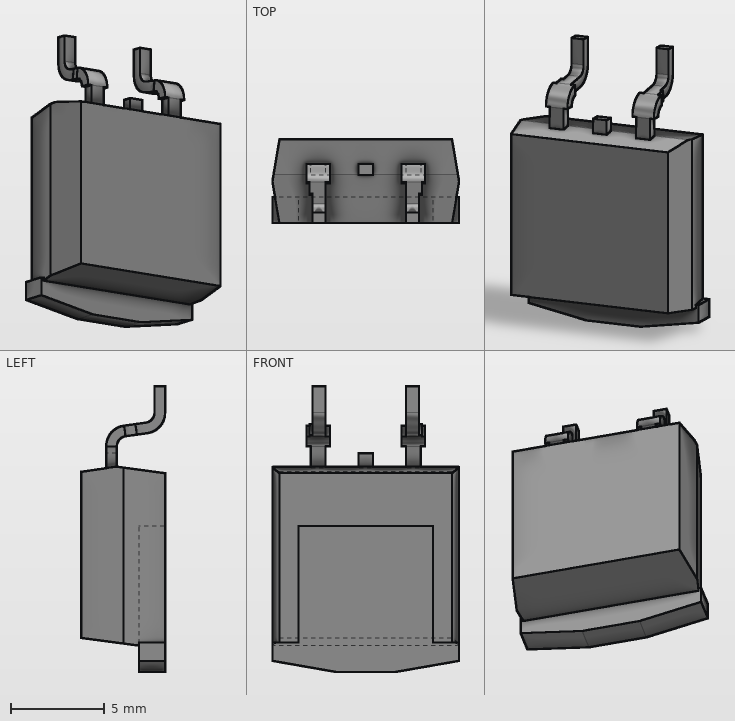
import cadquery as cq
import math

total_height = 15.3

depth = 4.5
half_width = 5.0
face_half_width = 4.62
widest_y = 2.23
ridge_y = 2.6
ridge_z = 11.0
face_top_z = 10.65
back_top_z = 10.73
face_bottom_z = 1.22
back_bottom_z = 1.82

tab_thickness = 1.4
tab_top_z = 7.82
tab_neck_half_width = 3.6
tab_shoulder_z = 1.58
tab_corner_z = 0.6
tab_edge_half_width = 1.59

lead_thickness = 0.58
lead_back_y = 3.17
lead_front_y = lead_back_y - lead_thickness
lead_inner_x = 2.14
stem_outer_x = 2.95
lower_bend_inner_x = 1.91
lower_bend_outer_x = 3.18
strip_outer_x = 3.0
foot_outer_x = 2.86
lower_bend_z = 12.09
inner_radius = 0.54
outer_radius = inner_radius + lead_thickness
strip_tilt = math.radians(8)
wide_strip_length = 0.61
centre_lead_half_width = 0.4
centre_lead_top_z = 11.72

lower_centre = (lead_front_y - inner_radius, lower_bend_z)
upper_centre_y = lead_thickness + inner_radius
upper_bend_z = (
    lower_bend_z
    + (inner_radius + outer_radius) / math.cos(strip_tilt)
    + (lower_centre[0] - upper_centre_y) * math.tan(strip_tilt)
)
upper_centre = (upper_centre_y, upper_bend_z)


def extrude_x(profile, x_start, x_end):
    """Extrude a closed (Y, Z) profile between two X positions."""
    return profile.extrude(x_end - x_start).translate((x_start, 0, 0))


def polar(centre, radius, angle):
    """Point on a circle in the (Y, Z) plane."""
    return (centre[0] + radius * math.cos(angle), centre[1] + radius * math.sin(angle))


def along_strip(point, distance):
    """Move a (Y, Z) point up the sloping strip, towards the foot."""
    return (point[0] - distance * math.cos(strip_tilt), point[1] + distance * math.sin(strip_tilt))


lower_end_angle = math.pi / 2 - strip_tilt
upper_end_angle = lower_end_angle + math.pi
strip_start_top = polar(lower_centre, outer_radius, lower_end_angle)
strip_start_bottom = polar(lower_centre, inner_radius, lower_end_angle)
foot_start_top = along_strip(strip_start_top, wide_strip_length)
foot_start_bottom = along_strip(strip_start_bottom, wide_strip_length)


def make_tab():
    outline = [
        (-tab_neck_half_width, tab_top_z),
        (-tab_neck_half_width, tab_shoulder_z),
        (-half_width, tab_shoulder_z),
        (-half_width, tab_corner_z),
        (-tab_edge_half_width, 0),
        (tab_edge_half_width, 0),
        (half_width, tab_corner_z),
        (half_width, tab_shoulder_z),
        (tab_neck_half_width, tab_shoulder_z),
        (tab_neck_half_width, tab_top_z),
    ]
    return cq.Workplane("XZ").polyline(outline).close().extrude(-tab_thickness)


def make_housing(tab):
    side_profile = cq.Workplane("YZ").polyline([
        (0, face_bottom_z),
        (0, face_top_z),
        (ridge_y, ridge_z),
        (depth, back_top_z),
        (depth, back_bottom_z),
    ]).close()
    plan = cq.Workplane("XY").polyline([
        (-face_half_width, 0),
        (face_half_width, 0),
        (half_width, widest_y),
        (face_half_width, depth),
        (-face_half_width, depth),
        (-half_width, widest_y),
    ]).close().extrude(total_height)
    return extrude_x(side_profile, -half_width, half_width).intersect(plan).cut(tab)


def make_stem(x_start, x_end, top_z, housing):
    """Straight lead stem whose lower end follows the sloping top of the housing."""
    profile = cq.Workplane("YZ").polyline([
        (lead_front_y, back_top_z),
        (lead_back_y, back_top_z),
        (lead_back_y, top_z),
        (lead_front_y, top_z),
    ]).close()
    return extrude_x(profile, x_start, x_end).cut(housing)


def make_lower_bend():
    mid_angle = lower_end_angle / 2
    profile = (
        cq.Workplane("YZ").moveTo(lead_back_y, lower_bend_z)
        .threePointArc(polar(lower_centre, outer_radius, mid_angle), strip_start_top)
        .lineTo(*strip_start_bottom)
        .threePointArc(polar(lower_centre, inner_radius, mid_angle), (lead_front_y, lower_bend_z))
        .close()
    )
    return extrude_x(profile, lower_bend_inner_x, lower_bend_outer_x)


def make_wide_strip():
    profile = cq.Workplane("YZ").polyline(
        [strip_start_top, foot_start_top, foot_start_bottom, strip_start_bottom]
    ).close()
    return extrude_x(profile, lead_inner_x, strip_outer_x)


def make_foot():
    """Rest of the sloping strip, the upper bend and the straight upright end."""
    mid_angle = (upper_end_angle + math.pi) / 2
    profile = (
        cq.Workplane("YZ").moveTo(*foot_start_top)
        .lineTo(*polar(upper_centre, inner_radius, upper_end_angle))
        .threePointArc(polar(upper_centre, inner_radius, mid_angle), (lead_thickness, upper_bend_z))
        .lineTo(lead_thickness, total_height)
        .lineTo(0, total_height)
        .lineTo(0, upper_bend_z)
        .threePointArc(
            polar(upper_centre, outer_radius, mid_angle),
            polar(upper_centre, outer_radius, upper_end_angle),
        )
        .lineTo(*foot_start_bottom)
        .close()
    )
    return extrude_x(profile, lead_inner_x, foot_outer_x)


def make_formed_lead(side, housing):
    """Lead on the +X side (side = 1) or its mirror image on the -X side (side = -1)."""
    lead = (
        make_stem(lead_inner_x, stem_outer_x, lower_bend_z, housing)
        .union(make_lower_bend())
        .union(make_wide_strip())
        .union(make_foot())
    )
    return lead if side > 0 else lead.mirror("YZ")


tab = make_tab()
housing = make_housing(tab)
centre_lead = make_stem(-centre_lead_half_width, centre_lead_half_width, centre_lead_top_z, housing)
formed_leads = [make_formed_lead(side, housing) for side in (-1, 1)]

result = cq.Compound.makeCompound([
    housing.solids().val(),
    tab.val(),
    centre_lead.solids().val(),
    *[lead.solids().val() for lead in formed_leads],
])